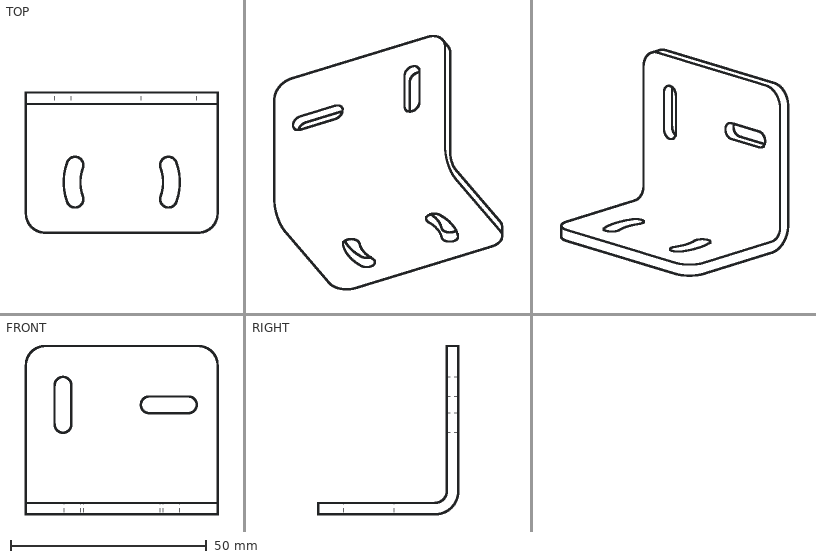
import cadquery as cq
import math

width = 49.0
depth = 35.8
height = 43.0
thickness = 3.0
bend_inner_radius = 3.0
bend_outer_radius = bend_inner_radius + thickness
corner_radius = 5.0

slot_width = 4.2
straight_slot_length = 14.2
straight_slot_z = 28.0
vertical_slot_x = -15.0
horizontal_slot_x = 12.0

arc_radius = 12.7
arc_half_angle = 20.0
arc_center_from_back = 22.9

front_y = -depth
cut_depth = 2 * thickness


def bent_plate():
    profile = (
        cq.Workplane("YZ")
        .moveTo(0, height)
        .lineTo(0, 0)
        .lineTo(front_y, 0)
        .lineTo(front_y, thickness)
        .lineTo(-thickness, thickness)
        .lineTo(-thickness, height)
        .close()
    )
    plate = profile.extrude(width / 2, both=True)
    plate = plate.edges(cq.selectors.NearestToPointSelector((0, 0, 0))).fillet(bend_outer_radius)
    inner_corner = cq.selectors.NearestToPointSelector((0, -thickness, thickness))
    plate = plate.edges("|X").edges(inner_corner).fillet(bend_inner_radius)
    plate = plate.faces("<Y").edges("|Z").fillet(corner_radius)
    return plate.faces(">Z").edges("|Y").fillet(corner_radius)


def straight_slot(x, angle):
    return (
        cq.Workplane("XZ")
        .center(x, straight_slot_z)
        .slot2D(straight_slot_length, slot_width, angle)
        .extrude(cut_depth)
    )


def arc_slot(middle_angle):
    """Slot with round ends along the circle, centred on middle_angle."""
    inner_radius = arc_radius - slot_width / 2
    outer_radius = arc_radius + slot_width / 2
    start = middle_angle - arc_half_angle
    end = middle_angle + arc_half_angle

    def at(radius, angle):
        a = math.radians(angle)
        return (radius * math.cos(a), radius * math.sin(a))

    def cap_tip(angle, direction):
        x, y = at(arc_radius, angle)
        dx, dy = at(slot_width / 2, angle + direction * 90)
        return (x + dx, y + dy)

    return (
        cq.Workplane("XY")
        .center(0, -arc_center_from_back)
        .moveTo(*at(outer_radius, start))
        .threePointArc(at(outer_radius, middle_angle), at(outer_radius, end))
        .threePointArc(cap_tip(end, 1), at(inner_radius, end))
        .threePointArc(at(inner_radius, middle_angle), at(inner_radius, start))
        .threePointArc(cap_tip(start, -1), at(outer_radius, start))
        .close()
        .extrude(cut_depth)
    )


result = bent_plate()
result = result.cut(straight_slot(vertical_slot_x, 90))
result = result.cut(straight_slot(horizontal_slot_x, 0))
for middle_angle in (0, 180):
    result = result.cut(arc_slot(middle_angle))